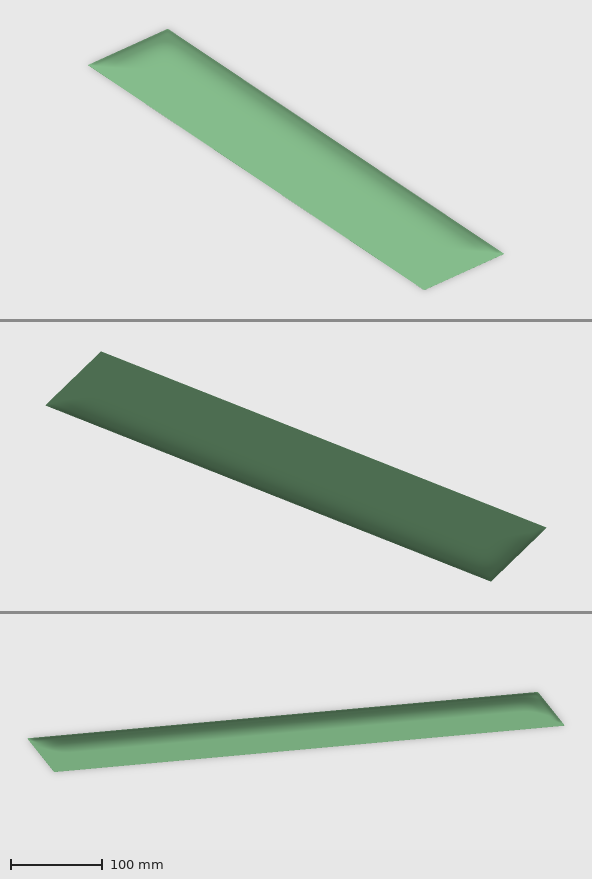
import cadquery as cq

plate_length = 577.0
plate_width = 113.0
plate_thickness = 0.1

result = cq.Workplane("XY").box(plate_length, plate_width, plate_thickness)